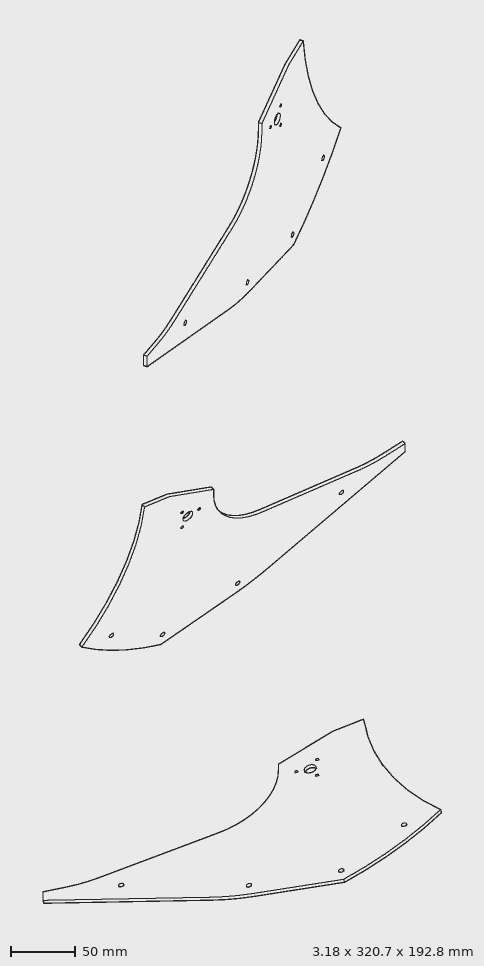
import cadquery as cq
import math

thickness = 3.18
length = 320.7
height = 192.8

nose = (length, 61.5)
top_corner = (258.5, height)
top_bend = (233.8, 185.7)
neck_y = 190.0
neck_top = (neck_y, 158.8)
tail_top_z = 61.0
tail_bottom_z = 50.5
keel_corner = (242.5, 0.0)
keel_bend = (152.5, 6.7)

back_slope = 14.6
tail_bend = (32.7, tail_top_z)
neck_root = (neck_y, tail_top_z + (neck_y - tail_bend[0]) * math.tan(math.radians(back_slope)))

front_edge_middle = (277.0, 124.5)
lower_edge_middle = (282.0, 25.3)

neck_radius = 64.0
tail_radius = 102.5
keel_radius = 166.8

hub_center = (215.5, 145.0)
hub_diameter = 9.5
screw_circle_radius = 11.2
screw_count = 3
screw_diameter = 2.37
mount_diameter = 4.2
mount_centers = [(291.2, 52.3), (240.5, 11.5), (166.0, 16.7), (63.2, 49.5)]


def make_blank():
    """Extrude the outline with sharp corners, centred on X = 0."""
    return (
        cq.Workplane("YZ")
        .moveTo(*nose)
        .threePointArc(front_edge_middle, top_corner)
        .lineTo(*top_bend)
        .lineTo(*neck_top)
        .lineTo(*neck_root)
        .lineTo(*tail_bend)
        .lineTo(0, tail_top_z)
        .lineTo(0, tail_bottom_z)
        .lineTo(*keel_bend)
        .lineTo(*keel_corner)
        .threePointArc(lower_edge_middle, nose)
        .close()
        .extrude(thickness / 2, both=True)
    )


def round_corner(body, corner, radius):
    """Round the edge that runs through the thickness at an outline corner."""
    edge = cq.selectors.NearestToPointSelector((0, *corner))
    return body.edges("|X").edges(edge).fillet(radius)


def drill(body, centers, diameter):
    """Cut through holes along X."""
    cutter = (
        cq.Workplane("YZ")
        .pushPoints(centers)
        .circle(diameter / 2)
        .extrude(thickness, both=True)
    )
    return body.cut(cutter)


def screw_centers():
    """Screw holes evenly spaced around the hub, the first toward the tail."""
    angles = [math.pi + 2 * math.pi * i / screw_count for i in range(screw_count)]
    return [
        (
            hub_center[0] + screw_circle_radius * math.cos(angle),
            hub_center[1] + screw_circle_radius * math.sin(angle),
        )
        for angle in angles
    ]


result = make_blank()
result = round_corner(result, neck_root, neck_radius)
result = round_corner(result, tail_bend, tail_radius)
result = round_corner(result, keel_bend, keel_radius)
result = drill(result, [hub_center], hub_diameter)
result = drill(result, screw_centers(), screw_diameter)
result = drill(result, mount_centers, mount_diameter)